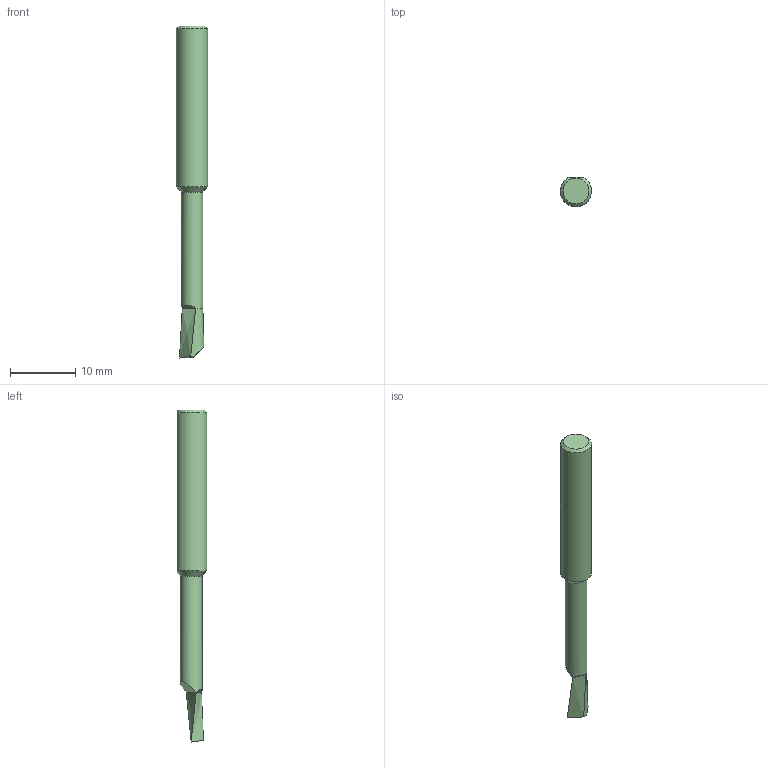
import cadquery as cq
import math

total_length = 50.8

shank_diameter = 4.76
shank_length = 24.6
shank_flat_y = 2.13
end_chamfer = 0.4

neck_diameter = 3.34
shoulder_height = 0.8

head_length = 7.65
tip_radius = 1.9
head_twist = 27
flank_span = 83
runout_angle = 45

nose_x = 0.1
nose_angle = 45
relief_angle_x = 3
relief_angle_y = 5

shank_radius = shank_diameter / 2
neck_radius = neck_diameter / 2
shank_bottom = total_length - shank_length
cutter_size = 4 * shank_diameter
lower_tip_angle = 180
upper_tip_angle = lower_tip_angle + head_twist


def polar(radius, angle):
    return radius * math.cos(math.radians(angle)), radius * math.sin(math.radians(angle))


def make_shank_and_neck():
    """Turned body from the head to the shank end, with the flat cut along the shank."""
    body = (
        cq.Workplane("XZ")
        .moveTo(0, head_length)
        .lineTo(neck_radius, head_length)
        .lineTo(neck_radius, shank_bottom - shoulder_height)
        .lineTo(shank_radius, shank_bottom)
        .lineTo(shank_radius, total_length - end_chamfer)
        .lineTo(shank_radius - end_chamfer, total_length)
        .lineTo(0, total_length)
        .close()
        .revolve(360, (0, 0, 0), (0, 1, 0))
    )
    flat_cutter = (
        cq.Workplane("XY")
        .box(cutter_size, cutter_size, total_length, centered=(True, False, False))
        .translate((0, shank_flat_y, 0))
    )
    return body.cut(flat_cutter)


def cut_runout(body, start_angle, end_angle):
    """Slope the neck end upward and outward from the chord between two angles on the neck."""
    start = polar(neck_radius, start_angle)
    end = polar(neck_radius, end_angle)
    along = cq.Vector(end[0] - start[0], end[1] - start[1], 0).normalized()
    outward = cq.Vector(along.y, -along.x, 0)
    slope = math.radians(runout_angle)
    cut_normal = outward * math.sin(slope) - cq.Vector(0, 0, math.cos(slope))
    plane = cq.Plane(origin=(*start, head_length), xDir=along, normal=cut_normal)
    return body.cut(cq.Workplane(plane).rect(cutter_size, cutter_size).extrude(cutter_size))


def head_section(workplane, radius, tip_angle):
    """Half disc behind the rake diameter, with a flat flank between the tip and the round back."""
    flank_angle = tip_angle + flank_span
    heel_angle = tip_angle + 180
    return (
        workplane.moveTo(*polar(radius, tip_angle))
        .lineTo(*polar(radius, flank_angle))
        .threePointArc(polar(radius, (flank_angle + heel_angle) / 2), polar(radius, heel_angle))
        .close()
    )


def make_head():
    """Twisted, flared head with its end relieved from the cutting tip."""
    lower = head_section(cq.Workplane("XY"), tip_radius, lower_tip_angle)
    upper = lower.workplane(offset=head_length)
    head = head_section(upper, neck_radius, upper_tip_angle).loft(ruled=True)

    end_cutter = (
        cq.Workplane("XY")
        .box(cutter_size, cutter_size, cutter_size)
        .translate((0, 0, -cutter_size / 2))
    )
    tip = (-tip_radius, 0, 0)
    relief_cutter = (
        end_cutter.rotate((0, 0, 0), (0, 1, 0), -relief_angle_x)
        .rotate((0, 0, 0), (1, 0, 0), -relief_angle_y)
        .translate(tip)
    )
    nose_cutter = end_cutter.rotate((0, 0, 0), (0, 1, 0), -nose_angle).translate((nose_x, 0, 0))
    return head.cut(relief_cutter).cut(nose_cutter)


body = make_shank_and_neck()
body = cut_runout(body, upper_tip_angle, upper_tip_angle + flank_span)
body = cut_runout(body, upper_tip_angle - 180, upper_tip_angle)

result = body.union(make_head())